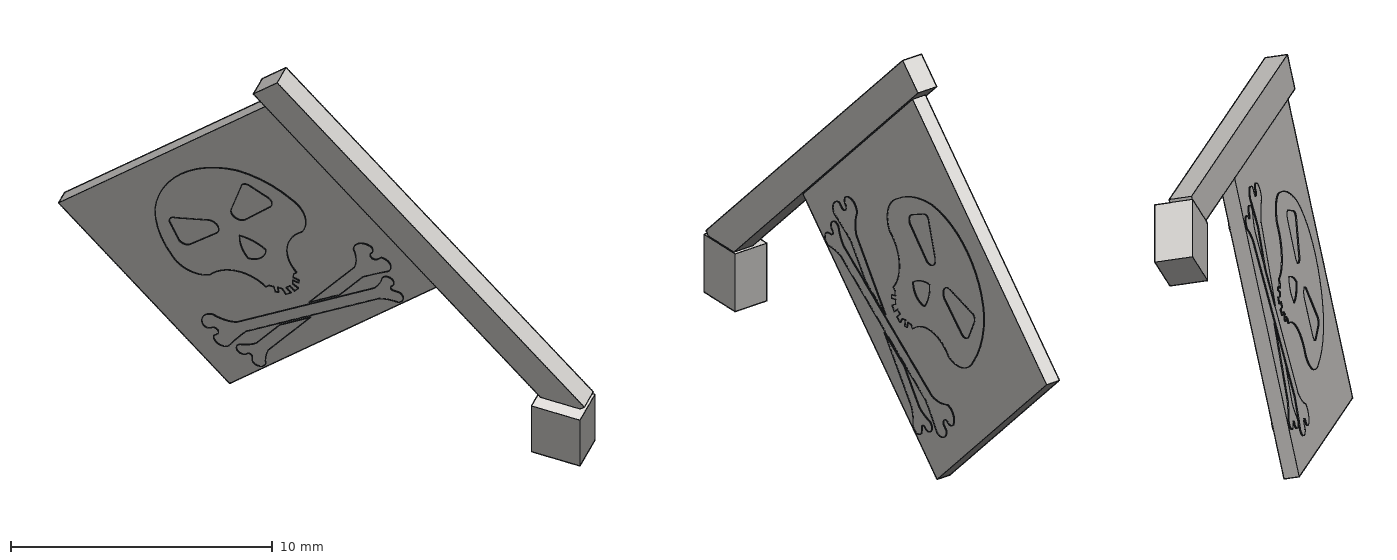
import cadquery as cq
import math


tilt = 45
hoist = 10.01
fly = 12.25
cloth_thickness = 0.61
relief_height = 0.05
pole_length = 17.97
pole_width = 1.4
pole_thickness = 0.9
pole_overhang = 0.77
overall_length = 21.85
foot_length = 2.01
foot_depth = 1.5
foot_height = 2.5
foot_bottom = 1.9
foot_back = 0.5
bone_gap = 0.09

tilt_angle = math.radians(tilt)
axis_start = (
    fly / 2 * math.sin(tilt_angle),
    hoist * math.sin(tilt_angle) + fly / 2 * math.cos(tilt_angle),
)
relief_thickness = cloth_thickness + 2 * relief_height

flag_plane = cq.Plane(
    origin=(axis_start[0], 0, axis_start[1]),
    xDir=(math.cos(tilt_angle), 0, -math.sin(tilt_angle)),
    normal=(0, -1, 0),
)


def sketch():
    return cq.Workplane(flag_plane)


def raise_outline(outline, thickness):
    """Extrude a closed outline evenly to both sides of the cloth's middle."""
    return outline.extrude(thickness / 2, both=True)


def rectangle(start, end, bottom, top):
    return sketch().moveTo((start + end) / 2, (bottom + top) / 2).rect(end - start, top - bottom)


def opposite(point):
    """Reflect a point across the skull's middle line."""
    return (point[0], -point[1])


def mirror_solid(solid):
    """Reflect a solid across the skull's middle line."""
    return solid.mirror(flag_plane.yDir, (axis_start[0], 0, axis_start[1]))


def make_cloth():
    return raise_outline(rectangle(0, hoist, -fly / 2, fly / 2), cloth_thickness)


def make_pole():
    pole_end = pole_length - pole_overhang
    outline = rectangle(-pole_overhang, pole_end, fly / 2, fly / 2 + pole_width)
    return raise_outline(outline, pole_thickness)


def make_foot():
    corner = (overall_length - foot_length, foot_back - foot_depth, foot_bottom)
    return cq.Workplane(origin=corner).box(foot_length, foot_depth, foot_height, centered=False)


def make_eye():
    outline = (
        sketch().moveTo(2.73, 2.32).lineTo(3.56, 2.62)
        .threePointArc((3.83, 2.55), (3.93, 2.32)).lineTo(3.98, 0.83)
        .threePointArc((3.67, 0.5), (3.3, 0.72)).lineTo(2.65, 1.92)
        .threePointArc((2.58, 2.15), (2.73, 2.32)).close()
    )
    return raise_outline(outline, relief_thickness)


def make_nose():
    outline = (
        sketch().moveTo(4.48, 0)
        .threePointArc((4.98, 0.37), (5.5, 0.52))
        .threePointArc((5.73, 0), (5.5, -0.52))
        .threePointArc((4.98, -0.37), (4.48, 0)).close()
    )
    return raise_outline(outline, relief_thickness)


def make_skull():
    crown = (1.07, 0)
    temple = (1.95, 2.4)
    side = (2.89, 3.1)
    cheek_top = (4.05, 3.5)
    cheek = (4.92, 3.39)
    cheek_bottom = (5.46, 2.69)
    hollow = (5.85, 1.4)
    jaw = (6.93, 0.9)
    half_teeth = [
        (6.93, 0.72), (7.05, 0.57), (7.28, 0.7), (7.37, 0.6), (7.15, 0.44),
        (7.3, 0.3), (7.56, 0.37), (7.6, 0.1), (7.32, 0.1),
    ]
    other_half_teeth = [opposite(point) for point in reversed([jaw] + half_teeth)]
    outline = (
        sketch().moveTo(*opposite(temple))
        .threePointArc(crown, temple)
        .threePointArc(side, cheek_top)
        .threePointArc(cheek, cheek_bottom)
        .threePointArc(hollow, jaw)
        .polyline(half_teeth + other_half_teeth, includeCurrent=True)
        .threePointArc(opposite(hollow), opposite(cheek_bottom))
        .threePointArc(opposite(cheek), opposite(cheek_top))
        .threePointArc(opposite(side), opposite(temple))
        .close()
    )
    eye = make_eye()
    return raise_outline(outline, relief_thickness).cut(eye).cut(mirror_solid(eye)).cut(make_nose())


shaft_upper = [(7.75, -3.45), (8.92, 3.45)]
shaft_lower = [(8.28, -3.4), (9.4, 3.24)]


def make_bone():
    outline = (
        sketch().moveTo(*shaft_upper[0])
        .threePointArc((7.45, -3.85), (7.04, -4.1))
        .threePointArc((6.95, -4.61), (7.25, -4.9))
        .threePointArc((7.45, -4.83), (7.52, -4.63))
        .threePointArc((7.7, -4.5), (7.87, -4.65))
        .lineTo(7.87, -4.9)
        .threePointArc((8.1, -5.03), (8.53, -4.65))
        .threePointArc((8.4, -4.09), shaft_lower[0])
        .lineTo(*shaft_lower[1])
        .threePointArc((9.57, 3.55), (9.88, 3.87))
        .threePointArc((9.85, 4.2), (9.55, 4.3))
        .lineTo(9.35, 4.13)
        .threePointArc((9.22, 4.1), (9.15, 4.25))
        .threePointArc((9.0, 4.48), (8.68, 4.15))
        .threePointArc((8.83, 3.85), shaft_upper[1])
        .close()
    )
    return raise_outline(outline, relief_thickness)


def make_crossbones():
    front_bone = make_bone()
    clearance = sketch().polyline(
        [(x - bone_gap, y) for x, y in shaft_upper]
        + [(x + bone_gap, y) for x, y in reversed(shaft_lower)]
    ).close()
    rear_bone = mirror_solid(front_bone).cut(raise_outline(clearance, relief_thickness))
    return front_bone.union(rear_bone)


result = (
    make_cloth()
    .union(make_skull())
    .union(make_crossbones())
    .union(make_pole())
    .union(make_foot())
)